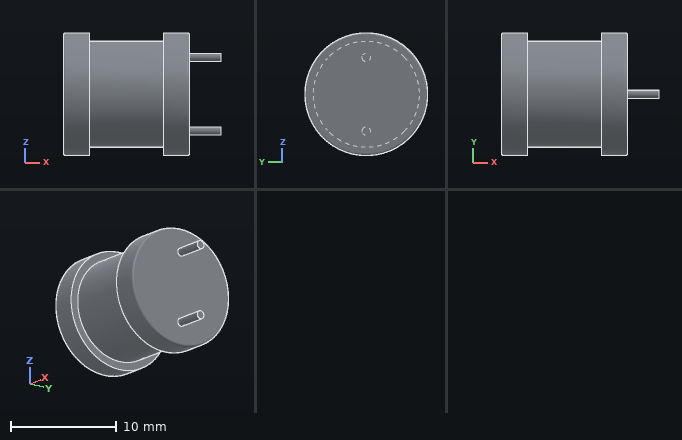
import cadquery as cq

body_length = 12.0
flange_diameter = 11.7
flange_thickness = 2.5
winding_diameter = 10.1
rim_fillet = 0.2
pin_diameter = 0.8
pin_length = 3.0
pin_spacing = 7.0

winding_length = body_length - 2 * flange_thickness


def cylinder_along_x(start_x, length, diameter, center_z=0.0):
    """Solid cylinder parallel to X, centred on Y = 0."""
    return (
        cq.Workplane("YZ", origin=(start_x, 0, center_z))
        .circle(diameter / 2)
        .extrude(length)
    )


def flange(start_x, outer_face):
    """End disc with its outward-facing rim rounded."""
    disc = cylinder_along_x(start_x, flange_thickness, flange_diameter)
    return disc.faces(outer_face).edges().fillet(rim_fillet)


winding = cylinder_along_x(flange_thickness, winding_length, winding_diameter)
front_flange = flange(0, "<X")
pin_flange = flange(body_length - flange_thickness, ">X")
result = front_flange.union(winding).union(pin_flange)

for center_z in (-pin_spacing / 2, pin_spacing / 2):
    pin = cylinder_along_x(body_length, pin_length, pin_diameter, center_z)
    result = result.union(pin)